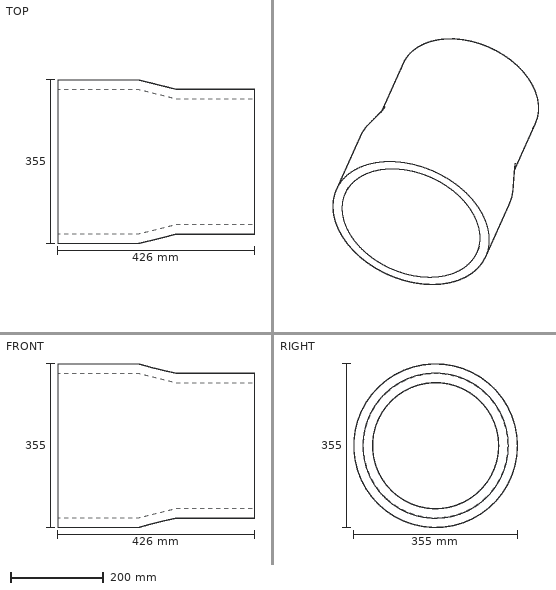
import cadquery as cq

length = 426.0
large_outer_diameter = 355.0
large_bore_diameter = 312.5
small_outer_diameter = 315.0
small_bore_diameter = 272.5
large_end_length = 175.0
small_end_length = 170.5

taper_start = large_end_length
taper_end = length - small_end_length


def reducer_body(large_diameter, small_diameter):
    """Solid of revolution about X: large cylinder, cone, small cylinder."""
    large_radius = large_diameter / 2
    small_radius = small_diameter / 2
    return (
        cq.Workplane("XY")
        .moveTo(0, 0)
        .lineTo(0, large_radius)
        .lineTo(taper_start, large_radius)
        .lineTo(taper_end, small_radius)
        .lineTo(length, small_radius)
        .lineTo(length, 0)
        .close()
        .revolve(360, (0, 0, 0), (1, 0, 0))
    )


outside = reducer_body(large_outer_diameter, small_outer_diameter)
bore = reducer_body(large_bore_diameter, small_bore_diameter)
result = outside.cut(bore)